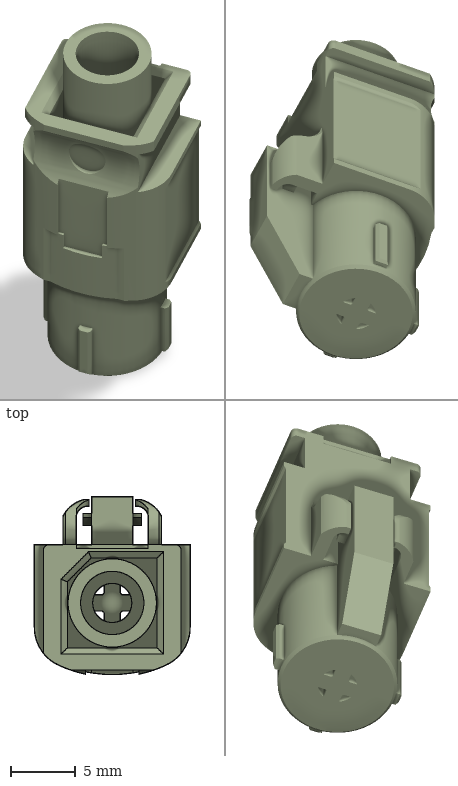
import cadquery as cq
import math

TOTAL_HEIGHT = 30.08
BODY_BOTTOM = 9.5
BODY_TOP = 21.0
FLANGE_BOTTOM = 25.0
FLANGE_TOP = 26.0
STEP_HEIGHT = 15.05

BODY_WIDTH = 12.0
BACK_Y = 4.48
SIDE_END_Y = -1.85
CORNER_RADIUS = 3.22
CORNER_END_X = 4.15
NECK_HALF_WIDTH = 4.3
FLANGE_HALF_WIDTH = 5.3
FLANGE_FRONT_Y = -5.15
FLANGE_CORNER_RADIUS = 0.42
FLANGE_NOTCH_WIDTH = 5.53
FLANGE_NOTCH_DEPTH = 0.3
BODY_HALF_WIDTH = BODY_WIDTH / 2

corner_center_x = BODY_HALF_WIDTH - CORNER_RADIUS
corner_end_angle = math.acos((CORNER_END_X - corner_center_x) / CORNER_RADIUS)
front_radius = CORNER_END_X / math.cos(corner_end_angle)
front_center_y = SIDE_END_Y + (front_radius - CORNER_RADIUS) * math.sin(corner_end_angle)

PANEL_DEPTH = 0.15
PANEL_MARGIN = 0.55
PANEL_RAMP = 0.27

SCALLOP_RADIUS = 3.9
SCALLOP_Z = 23.05
SCALLOP_FLOOR_Y = -4.4
DIAL_RADIUS = 1.5
DIAL_FLOOR_Y = -4.33
PLATE_HALF_WIDTH = 3.3
PLATE_FLAT_WIDTH = 0.55
PLATE_DEPTH = 0.18
WINDOW_FLOOR_Y = -5.17
WINDOW_WIDTH = 4.1
WINDOW_TOP = 20.73
TONGUE_WIDTH = 3.2
TONGUE_BOTTOM = 13.7

TUBE_RADIUS = 3.4
BORE_RADIUS = 2.45
SOCKET_HALF_WIDTH = 3.45
SOCKET_KEY = 1.83
SOCKET_LEAD_IN = 0.48
SOCKET_FLOOR = BODY_TOP
CONTACT_RADIUS = 1.5
CONTACT_RECESS_DEPTH = 0.9
CROSS_HALF_WIDTH = 0.63
CROSS_FILLET = 0.18
CROSS_ANCHOR = 0.3

CYLINDER_RADIUS = 4.6
CYLINDER_CHAMFER = 0.25
RIB_REACH = 5.15
RIB_WIDTH = 1.05
RIB_BOTTOM = 0.55
RIB_TOP = 5.15
RIB_CHAMFER = 0.2
RIB_ROOT = 0.3

ARM_WIDTH = 3.2
ARM_BACK_Y = 8.18
ARM_TIP_Y = 5.45
ARM_KNEE_Z = 6.15
HOOK_SPAN = 4.5
HOOK_FRONT_Y = 5.95
HOOK_RIDGE_Y = 6.6
HOOK_BACK_Y = 6.9
HOOK_BOTTOM = 10.23
HOOK_TOP = 12.63

GUARD_OUTER_X = 3.8
GUARD_INNER_X = 2.77
GUARD_TIP_X = 1.77
GUARD_BEND_Y = 6.68
GUARD_BACK_Y = 8.03
GUARD_TIP_THICKNESS = 0.6
GUARD_ARC_X = 3.13
GUARD_ARC_Y = 7.5
GUARD_INNER_ARC_X = 2.47
GUARD_INNER_ARC_Y = 7.22
GUARD_CHAMFER = 0.2
GUARD_UPPER_RADIUS = 2.25
GUARD_LOWER_RADIUS = 2.5
GUARD_TOP = 17.1
GUARD_INFLECTION_Y = 6.15
GUARD_RAMP_TOP = 14.3
GUARD_RAMP_BOTTOM = 12.93


def box(x_min, x_max, y_min, y_max, z_min, z_max):
    size = (x_max - x_min, y_max - y_min, z_max - z_min)
    return cq.Workplane("XY").box(*size, centered=False).translate((x_min, y_min, z_min))


def centered_box(width, y_min, y_max, z_min, z_max):
    return box(-width / 2, width / 2, y_min, y_max, z_min, z_max)


def cylinder(radius, z_min, z_max):
    return cq.Workplane("XY").workplane(offset=z_min).circle(radius).extrude(z_max - z_min)


def mirrored_pair(solid):
    return solid.union(solid.mirror("YZ"))


def body_prism(z_min, z_max):
    corner_end_y = SIDE_END_Y - CORNER_RADIUS * math.sin(corner_end_angle)
    mid_x = corner_center_x + CORNER_RADIUS * math.cos(corner_end_angle / 2)
    mid_y = SIDE_END_Y - CORNER_RADIUS * math.sin(corner_end_angle / 2)
    return (
        cq.Workplane("XY")
        .workplane(offset=z_min)
        .moveTo(-BODY_HALF_WIDTH, BACK_Y)
        .lineTo(-BODY_HALF_WIDTH, SIDE_END_Y)
        .threePointArc((-mid_x, mid_y), (-CORNER_END_X, corner_end_y))
        .threePointArc((0, front_center_y - front_radius), (CORNER_END_X, corner_end_y))
        .threePointArc((mid_x, mid_y), (BODY_HALF_WIDTH, SIDE_END_Y))
        .lineTo(BODY_HALF_WIDTH, BACK_Y)
        .close()
        .extrude(z_max - z_min)
    )


def side_panel():
    outer_x = BODY_HALF_WIDTH
    inner_x = BODY_HALF_WIDTH - PANEL_DEPTH
    bottom = BODY_BOTTOM + PANEL_MARGIN
    top = BODY_TOP - PANEL_MARGIN
    section = [
        (outer_x, bottom),
        (inner_x, bottom + PANEL_RAMP),
        (inner_x, top - PANEL_RAMP),
        (outer_x, top),
    ]
    length = BACK_Y - front_center_y + front_radius
    return cq.Workplane("XZ", origin=(0, BACK_Y, 0)).polyline(section).close().extrude(length)


def main_body():
    front_limit = front_center_y - front_radius
    body = body_prism(BODY_BOTTOM, BODY_TOP).cut(mirrored_pair(side_panel()))
    neck = body_prism(BODY_TOP, FLANGE_TOP).intersect(
        centered_box(2 * NECK_HALF_WIDTH, front_limit, BACK_Y, BODY_TOP, FLANGE_TOP)
    )
    flange_limits = centered_box(
        2 * FLANGE_HALF_WIDTH, FLANGE_FRONT_Y, BACK_Y, FLANGE_BOTTOM, FLANGE_TOP
    )
    flange_limits = flange_limits.edges("|Z and >Y").fillet(FLANGE_CORNER_RADIUS)
    flange = body_prism(FLANGE_BOTTOM, FLANGE_TOP).intersect(flange_limits)
    notch = centered_box(
        FLANGE_NOTCH_WIDTH, BACK_Y - FLANGE_NOTCH_DEPTH, BACK_Y, FLANGE_BOTTOM, FLANGE_TOP
    )
    return body.union(neck).union(flange).cut(notch)


def scallop():
    center_y = SCALLOP_FLOOR_Y - SCALLOP_RADIUS
    groove = (
        cq.Workplane("YZ")
        .center(center_y, SCALLOP_Z)
        .circle(SCALLOP_RADIUS)
        .extrude(BODY_HALF_WIDTH, both=True)
    )
    dial = (
        cq.Workplane("XZ", origin=(0, DIAL_FLOOR_Y, SCALLOP_Z))
        .circle(DIAL_RADIUS)
        .extrude(SCALLOP_RADIUS)
    )
    front_clearance = box(
        -BODY_HALF_WIDTH, BODY_HALF_WIDTH, center_y, FLANGE_FRONT_Y, SCALLOP_Z, FLANGE_TOP
    )
    return groove.union(dial).union(front_clearance)


def front_plate():
    """Shallow step with a curved floor between two narrow flats."""
    front_limit = front_center_y - front_radius
    floor_radius = front_radius - PLATE_DEPTH
    flat_inner_x = PLATE_HALF_WIDTH - PLATE_FLAT_WIDTH
    flat_y = front_center_y - math.sqrt(floor_radius**2 - flat_inner_x**2)
    pocket = centered_box(2 * PLATE_HALF_WIDTH, front_limit, flat_y, BODY_BOTTOM, STEP_HEIGHT)
    floor = cylinder(floor_radius, BODY_BOTTOM, STEP_HEIGHT).translate((0, front_center_y, 0))
    return pocket.cut(floor)


def front_window():
    front_limit = front_center_y - front_radius
    window = centered_box(WINDOW_WIDTH, front_limit, WINDOW_FLOOR_Y, STEP_HEIGHT, WINDOW_TOP)
    tongue = centered_box(TONGUE_WIDTH, front_limit, WINDOW_FLOOR_Y, TONGUE_BOTTOM, STEP_HEIGHT)
    return window.union(tongue)


def keyed_square(half_width, key, z):
    return (
        cq.Workplane("XY")
        .workplane(offset=z)
        .moveTo(-half_width, -half_width)
        .lineTo(half_width, -half_width)
        .lineTo(half_width, half_width)
        .lineTo(key - half_width, half_width)
        .lineTo(-half_width, half_width - key)
        .close()
    )


def socket():
    pocket = keyed_square(SOCKET_HALF_WIDTH, SOCKET_KEY, SOCKET_FLOOR)
    pocket = pocket.extrude(FLANGE_TOP - SOCKET_FLOOR)
    mouth_key = SOCKET_KEY + (2 - math.sqrt(2)) * SOCKET_LEAD_IN
    mouth_half_width = SOCKET_HALF_WIDTH + SOCKET_LEAD_IN
    lead_in = keyed_square(mouth_half_width, mouth_key, FLANGE_TOP)
    lead_in = lead_in.extrude(-SOCKET_LEAD_IN, taper=45)
    return pocket.union(lead_in)


def contact_carrier():
    """Cross-shaped web, anchored in the wall, that leaves four corner openings in the contact hole."""
    arm_length = 2 * (CONTACT_RADIUS + CROSS_ANCHOR)
    arm_width = 2 * CROSS_HALF_WIDTH
    height = BODY_BOTTOM - CONTACT_RECESS_DEPTH
    cross = cq.Workplane("XY").rect(arm_length, arm_width).extrude(height)
    cross = cross.union(cq.Workplane("XY").rect(arm_width, arm_length).extrude(height))
    inner_corners = cq.selectors.BoxSelector(
        (-CONTACT_RADIUS, -CONTACT_RADIUS, 0), (CONTACT_RADIUS, CONTACT_RADIUS, height)
    )
    return cross.edges("|Z").edges(inner_corners).fillet(CROSS_FILLET)


def rib():
    root_x = CYLINDER_RADIUS - RIB_ROOT
    bar = box(root_x, RIB_REACH, -RIB_WIDTH / 2, RIB_WIDTH / 2, RIB_BOTTOM, RIB_TOP)
    return bar.faces(">X").edges("|Z or <Z").chamfer(RIB_CHAMFER)


def mating_cylinder():
    barrel = cylinder(CYLINDER_RADIUS, 0, BODY_BOTTOM)
    barrel = barrel.faces("<Z").edges().chamfer(CYLINDER_CHAMFER)
    for angle in (0, 180, 270):
        barrel = barrel.union(rib().rotate((0, 0, 0), (0, 0, 1), angle))
    return barrel


def latch_arm():
    side = [
        (BACK_Y - RIB_ROOT, STEP_HEIGHT),
        (ARM_BACK_Y, STEP_HEIGHT),
        (ARM_BACK_Y, ARM_KNEE_Z),
        (ARM_TIP_Y, CYLINDER_CHAMFER),
        (0, CYLINDER_CHAMFER),
        (0, BODY_BOTTOM),
        (BACK_Y - RIB_ROOT, BODY_BOTTOM),
    ]
    arm = cq.Workplane("YZ").polyline(side).close().extrude(ARM_WIDTH / 2, both=True)
    hook_side = [
        (HOOK_FRONT_Y, HOOK_BOTTOM),
        (HOOK_BACK_Y, HOOK_BOTTOM),
        (HOOK_BACK_Y, HOOK_TOP),
        (HOOK_RIDGE_Y, HOOK_TOP),
    ]
    hooks = cq.Workplane("YZ").polyline(hook_side).close().extrude(HOOK_SPAN / 2, both=True)
    return arm.union(hooks)


def guard_outline(z):
    """Plan of the left guard: a straight wall whose far end curls in toward the arm."""
    tip_inner_y = GUARD_BACK_Y - GUARD_TIP_THICKNESS
    root_y = BACK_Y - FLANGE_NOTCH_DEPTH
    return (
        cq.Workplane("XY")
        .workplane(offset=z)
        .moveTo(-GUARD_INNER_X, root_y)
        .lineTo(-GUARD_OUTER_X, root_y)
        .lineTo(-GUARD_OUTER_X, GUARD_BEND_Y)
        .threePointArc((-GUARD_ARC_X, GUARD_ARC_Y), (-GUARD_TIP_X, GUARD_BACK_Y))
        .lineTo(-GUARD_TIP_X, tip_inner_y)
        .threePointArc((-GUARD_INNER_ARC_X, GUARD_INNER_ARC_Y), (-GUARD_INNER_X, GUARD_BEND_Y))
        .close()
    )


def guard_top_profile():
    """S-shaped side outline, two tangent arcs falling away from the back of the body."""
    upper_center_y = BACK_Y + GUARD_UPPER_RADIUS
    tangent_angle = math.acos((upper_center_y - GUARD_INFLECTION_Y) / GUARD_UPPER_RADIUS)
    reach = math.cos(tangent_angle)
    drop = math.sin(tangent_angle)
    lower_center_y = GUARD_INFLECTION_Y - GUARD_LOWER_RADIUS * reach
    inflection_z = GUARD_TOP - GUARD_UPPER_RADIUS * drop
    lower_center_z = inflection_z - GUARD_LOWER_RADIUS * drop
    root_y = BACK_Y - FLANGE_NOTCH_DEPTH
    half_angle = tangent_angle / 2
    upper_mid = (
        upper_center_y - GUARD_UPPER_RADIUS * math.cos(half_angle),
        GUARD_TOP - GUARD_UPPER_RADIUS * math.sin(half_angle),
    )
    lower_end = (lower_center_y + GUARD_LOWER_RADIUS, lower_center_z)
    return (
        cq.Workplane("YZ")
        .moveTo(root_y, BODY_BOTTOM)
        .lineTo(root_y, GUARD_TOP)
        .lineTo(BACK_Y, GUARD_TOP)
        .threePointArc(upper_mid, (GUARD_INFLECTION_Y, inflection_z))
        .tangentArcPoint(lower_end, relative=False)
        .lineTo(lower_end[0], BODY_BOTTOM)
        .close()
    )


def guard_tip_ramp():
    """Waste above the curl, whose top slopes down toward the latch arm."""
    section = [
        (-GUARD_INNER_X, GUARD_TOP),
        (-GUARD_INNER_X, GUARD_RAMP_TOP),
        (-GUARD_TIP_X, GUARD_RAMP_BOTTOM),
        (-GUARD_TIP_X, GUARD_TOP),
    ]
    return cq.Workplane("XZ").polyline(section).close().extrude(-ARM_BACK_Y)


def guards():
    wall = guard_outline(BODY_BOTTOM).extrude(GUARD_TOP - BODY_BOTTOM)
    wall = wall.intersect(guard_top_profile().extrude(-BODY_HALF_WIDTH))
    straight_top = cq.selectors.BoxSelector(
        (-GUARD_OUTER_X - GUARD_CHAMFER, BACK_Y, STEP_HEIGHT - GUARD_LOWER_RADIUS),
        (-GUARD_OUTER_X + GUARD_CHAMFER, GUARD_BEND_Y, GUARD_TOP),
    )
    wall = wall.edges(straight_top).chamfer(GUARD_CHAMFER).cut(guard_tip_ramp())
    return mirrored_pair(wall)


shell = main_body().cut(scallop()).cut(front_plate()).cut(front_window()).cut(socket())
result = (
    shell.union(mating_cylinder())
    .union(latch_arm())
    .union(guards())
    .union(cylinder(TUBE_RADIUS, SOCKET_FLOOR, TOTAL_HEIGHT))
    .cut(cylinder(BORE_RADIUS, BODY_BOTTOM, TOTAL_HEIGHT))
    .cut(cylinder(CONTACT_RADIUS, 0, BODY_BOTTOM))
    .union(contact_carrier())
)